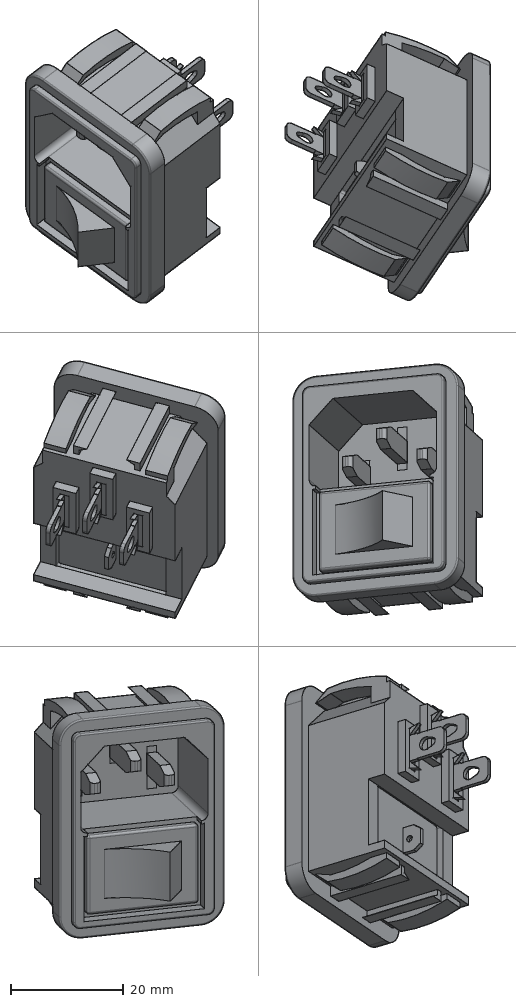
import cadquery as cq
import math


flange_width = 31.2
flange_height = 41.2
flange_thickness = 3.75
flange_corner_radius = 4.45
rim_width = 26.6
rim_height = 36.65
rim_height_off_flange = 1.3
rim_corner_radius = 1.3
front_edge_radius = 0.3
rim_front_y = -(flange_thickness + rim_height_off_flange)

body_half_width = 13.47
body_half_height = 17.15
body_back_y = 16.35
body_corner_chamfer = 5.05
rear_notch_y = 12.9
rear_notch_top_z = -2.3
rear_notch_bottom_z = -15.55

latch_inner_x = 7.6
latch_outer_x = 11.8
latch_back_y = 15.65
latch_back_height = 1.1
latch_peak_y = 7.13
latch_peak_height = 2.5
latch_knee_y = 2.95
latch_knee_height = 2.22
latch_tip_y = 0.37
latch_tip_thickness = 0.3
latch_gap_back_y = 12.28
latch_gap_middle_y = 6.4
latch_gap_front_y = 3.63
latch_gap_height = 1.05
rib_inner_x = 3.8
rib_outer_x = 6.35
rib_back_y = 15.15
rib_height = 1.95
rib_wall_inner_x = 5.27
rib_lip_depth = 0.82

socket_half_width = 12.0
socket_top_z = 15.6
socket_bottom_z = -0.4
socket_top_chamfer = 4.5
socket_bottom_radius = 1.25
socket_floor_y = 11.4

recess_half_width = 11.37
recess_top_z = -1.05
recess_bottom_z = -17.05
recess_depth = 2.35
recess_floor_y = rim_front_y + recess_depth

switch_half_width = 10.45
switch_height = 14.85
switch_center_z = -8.75
switch_front_y = -4.3
switch_back_y = 11.55
switch_edge_radius = 0.45
rocker_half_width = 7.25
rocker_height = 9.23
rocker_ridge_x = 3.35
rocker_ridge_y = -9.55
rocker_face_x = -1.4
rocker_face_y = -6.0
terminal_thickness = 0.82
terminal_height = 5.05
terminal_back_y = 15.3
terminal_corner_y = 1.4
terminal_corner_z = 1.0
terminal_hole_radius = 0.58
terminal_hole_y = 12.95

pin_spacing = 7.0
blade_width = 1.98
blade_height = 4.0
side_blade_tip_y = 1.15
center_blade_tip_y = -0.65
blade_taper_length = 2.9
blade_taper_depth = 1.05
blade_tip_width = 0.5
blade_tip_depth = 0.5
blade_offset_z = 0.8
plate_width = 1.75
plate_height = 8.0
tab_thickness = 0.82
tab_height = 4.95
tab_back_y = 25.38
tab_corner_radius = 1.15
tab_root_height = 5.2
tab_root_back_y = 19.53
barb_tip_y = 19.9
barb_tip_z = 4.55
eye_large_radius = 1.28
eye_large_y = 21.4
eye_small_radius = 0.82
eye_small_y = 22.6

block_width = 4.35
block_height = 10.4
block_back_y = 17.95

side_plate_z = 4.8
center_plate_z = 10.4
pin_layout = [
    (-pin_spacing, side_plate_z, 1, side_blade_tip_y),
    (0.0, center_plate_z, -1, center_blade_tip_y),
    (pin_spacing, side_plate_z, 1, side_blade_tip_y),
]

center_block_z = 10.95
block_layout = [
    (-pin_spacing, side_plate_z),
    (0.0, center_block_z),
    (pin_spacing, side_plate_z),
]


def box_between(x0, x1, y0, y1, z0, z1):
    """Box between two opposite corners."""
    return cq.Workplane("XY").box(x1 - x0, y1 - y0, z1 - z0, centered=False).translate((x0, y0, z0))


def side_profile(x0):
    """Workplane across X at x0; its local axes are (Y, Z) and it extrudes toward +X."""
    return cq.Workplane("YZ", origin=(x0, 0, 0))


def front_profile(y0):
    """Workplane across Y at y0; its local axes are (X, Z) and it extrudes toward -Y."""
    return cq.Workplane("XZ", origin=(0, y0, 0))


def make_rounded_plate(width, height, back_y, front_y, corner_radius):
    """Plate with rounded corners and a softened front edge."""
    plate = front_profile(back_y).rect(width, height).extrude(back_y - front_y)
    return plate.edges("|Y").fillet(corner_radius).faces("<Y").edges().fillet(front_edge_radius)


def make_body():
    """Block behind the flange with its two upper corners cut off and a notch in its rear."""
    body = box_between(
        -body_half_width, body_half_width, 0, body_back_y, -body_half_height, body_half_height
    )
    body = body.edges("|Y and >Z").chamfer(body_corner_chamfer)
    notch = box_between(
        -body_half_width, body_half_width, rear_notch_y, body_back_y, rear_notch_bottom_z, rear_notch_top_z
    )
    return body.cut(notch)


def make_latch():
    """Upper latch on the +X side: a bowed arm that springs from the rear of the body."""
    base = body_half_height
    return (
        side_profile(latch_inner_x)
        .moveTo(latch_back_y, base)
        .lineTo(latch_back_y, base + latch_back_height)
        .threePointArc((latch_peak_y, base + latch_peak_height), (latch_knee_y, base + latch_knee_height))
        .lineTo(latch_tip_y, base)
        .lineTo(latch_tip_y + latch_tip_thickness, base)
        .lineTo(latch_gap_front_y, base + latch_gap_height)
        .threePointArc((latch_gap_middle_y, base + latch_gap_height), (latch_gap_back_y, base))
        .close()
        .extrude(latch_outer_x - latch_inner_x)
    )


def make_latch_root():
    """Block that fills the cut-off upper corner of the body under the rear of a latch."""
    root_bottom_z = body_half_height + body_half_width - body_corner_chamfer - latch_outer_x
    return box_between(
        latch_inner_x, latch_outer_x, latch_gap_back_y, body_back_y, root_bottom_z, body_half_height
    )


def make_rib():
    """Upper rib on the +X side: an upright wall with a lip that tapers inward to a sharp edge."""
    base_z = body_half_height
    top_z = base_z + rib_height
    outline = [
        (rib_wall_inner_x, base_z),
        (rib_outer_x, base_z),
        (rib_outer_x, top_z),
        (rib_inner_x, top_z),
        (rib_wall_inner_x, top_z - rib_lip_depth),
    ]
    return front_profile(rib_back_y).polyline(outline).close().extrude(rib_back_y)


def make_socket_opening():
    """Opening with two cut-off upper corners and two rounded lower corners."""
    opening = (
        front_profile(socket_floor_y)
        .moveTo(-socket_half_width, socket_bottom_z)
        .lineTo(socket_half_width, socket_bottom_z)
        .lineTo(socket_half_width, socket_top_z - socket_top_chamfer)
        .lineTo(socket_half_width - socket_top_chamfer, socket_top_z)
        .lineTo(-socket_half_width + socket_top_chamfer, socket_top_z)
        .lineTo(-socket_half_width, socket_top_z - socket_top_chamfer)
        .close()
        .extrude(socket_floor_y - rim_front_y)
    )
    return opening.edges("|Y and <Z").fillet(socket_bottom_radius)


def make_switch_recess():
    """Recess around the switch, joined to the socket through its top."""
    recess = box_between(
        -recess_half_width, recess_half_width, rim_front_y, recess_floor_y, recess_bottom_z, recess_top_z
    )
    joint_half_width = socket_half_width - socket_bottom_radius
    joint = box_between(
        -joint_half_width, joint_half_width, rim_front_y, recess_floor_y, recess_top_z, socket_bottom_z
    )
    return recess.union(joint)


def make_switch_block(front_y, back_y):
    """Block with the rounded outline of the switch."""
    half_height = switch_height / 2
    block = box_between(
        -switch_half_width,
        switch_half_width,
        front_y,
        back_y,
        switch_center_z - half_height,
        switch_center_z + half_height,
    )
    return block.edges("|Y").fillet(switch_edge_radius)


def make_pin_plate(x, z):
    """Part of a pin that passes through the housing; also the shape of its slot."""
    return box_between(
        x - plate_width / 2,
        x + plate_width / 2,
        socket_floor_y,
        block_back_y,
        z - plate_height / 2,
        z + plate_height / 2,
    )


def make_pin_block(x, z):
    """Raised block on the rear of the housing, centred at x and z."""
    return box_between(
        x - block_width / 2,
        x + block_width / 2,
        body_back_y,
        block_back_y,
        z - block_height / 2,
        z + block_height / 2,
    )


def make_housing():
    """Flange, rim and body, with latches, ribs and pin blocks, opened for the other bodies."""
    flange = make_rounded_plate(flange_width, flange_height, 0, -flange_thickness, flange_corner_radius)
    rim = make_rounded_plate(rim_width, rim_height, -flange_thickness, rim_front_y, rim_corner_radius)
    housing = flange.union(rim).union(make_body())

    upper_right_parts = make_latch().union(make_rib())
    upper_parts = upper_right_parts.union(upper_right_parts.mirror("YZ"))
    housing = housing.union(upper_parts).union(upper_parts.mirror("XY"))
    root = make_latch_root()
    housing = housing.union(root).union(root.mirror("YZ"))

    for x, block_z in block_layout:
        housing = housing.union(make_pin_block(x, block_z))

    housing = housing.cut(make_socket_opening()).cut(make_switch_recess())
    housing = housing.cut(make_switch_block(recess_floor_y, rear_notch_y))
    for x, plate_z, _, _ in pin_layout:
        housing = housing.cut(make_pin_plate(x, plate_z))
    return housing


def make_rocker():
    """Rocker with a hollow curved face on one side of its ridge and a flat face on the other."""
    return (
        cq.Workplane("XY", origin=(0, 0, switch_center_z))
        .moveTo(-rocker_half_width, switch_front_y)
        .threePointArc((rocker_face_x, rocker_face_y), (rocker_ridge_x, rocker_ridge_y))
        .lineTo(rocker_half_width, switch_front_y)
        .close()
        .extrude(rocker_height / 2, both=True)
    )


def make_terminal():
    """Solder terminal on the rear of the switch, with cut corners and a hole."""
    half_height = terminal_height / 2
    upper_outline = [
        (switch_back_y, half_height),
        (terminal_back_y - terminal_corner_y, half_height),
        (terminal_back_y, half_height - terminal_corner_z),
    ]
    lower_outline = [(y, -z) for y, z in reversed(upper_outline)]
    terminal = (
        side_profile(0)
        .polyline(upper_outline + lower_outline)
        .close()
        .extrude(terminal_thickness / 2, both=True)
    )
    hole = (
        side_profile(0)
        .center(terminal_hole_y, 0)
        .circle(terminal_hole_radius)
        .extrude(terminal_thickness, both=True)
    )
    return terminal.cut(hole).translate((0, 0, switch_center_z))


def make_switch():
    """Switch block with a softened front, its rocker and its terminal."""
    block = make_switch_block(switch_front_y, switch_back_y)
    block = block.faces("<Y").edges().fillet(switch_edge_radius)
    return block.union(make_rocker()).union(make_terminal())


def tip_curve_middle(tip_y, side):
    """Middle point of the arc that leaves the flat tip tangentially and ends on a blade side."""
    run = (blade_width - blade_tip_width) / 2
    radius = (run**2 + blade_tip_depth**2) / (2 * blade_tip_depth)
    half_angle = math.asin(run / radius) / 2
    x = blade_tip_width / 2 + radius * math.sin(half_angle)
    return side * x, tip_y + radius * (1 - math.cos(half_angle))


def make_blade(tip_y):
    """Front blade of a pin, tapered above and below, with its tip curved back to the sides."""
    half_height = blade_height / 2
    upper_outline = [
        (socket_floor_y, half_height),
        (tip_y + blade_taper_length, half_height),
        (tip_y, half_height - blade_taper_depth),
    ]
    lower_outline = [(y, -z) for y, z in reversed(upper_outline)]
    blade = (
        side_profile(0)
        .polyline(upper_outline + lower_outline)
        .close()
        .extrude(blade_width / 2, both=True)
    )

    half_width = blade_width / 2
    half_tip = blade_tip_width / 2
    shoulder_y = tip_y + blade_tip_depth
    plan = (
        cq.Workplane("XY")
        .moveTo(half_width, socket_floor_y)
        .lineTo(-half_width, socket_floor_y)
        .lineTo(-half_width, shoulder_y)
        .threePointArc(tip_curve_middle(tip_y, -1), (-half_tip, tip_y))
        .lineTo(half_tip, tip_y)
        .threePointArc(tip_curve_middle(tip_y, 1), (half_width, shoulder_y))
        .close()
        .extrude(half_height, both=True)
    )
    return blade.intersect(plan)


def make_tab_eye():
    """Drop-shaped hole in a tab: two arcs joined by their common tangents."""
    tangent_angle = math.asin((eye_large_radius - eye_small_radius) / (eye_small_y - eye_large_y))
    along = math.sin(tangent_angle)
    across = math.cos(tangent_angle)
    large_y = eye_large_y + eye_large_radius * along
    large_z = eye_large_radius * across
    small_y = eye_small_y + eye_small_radius * along
    small_z = eye_small_radius * across
    return (
        side_profile(0)
        .moveTo(large_y, -large_z)
        .lineTo(small_y, -small_z)
        .threePointArc((eye_small_y + eye_small_radius, 0), (small_y, small_z))
        .lineTo(large_y, large_z)
        .threePointArc((eye_large_y - eye_large_radius, 0), (large_y, -large_z))
        .close()
        .extrude(tab_thickness)
    )


def make_tab():
    """Rear solder tab with a wider root, two barbs and an eye."""
    tab = box_between(0, tab_thickness, block_back_y, tab_back_y, -tab_height / 2, tab_height / 2)
    tab = tab.edges("|X and >Y").fillet(tab_corner_radius)
    root_half_height = tab_root_height / 2
    root = box_between(
        0, tab_thickness, block_back_y, tab_root_back_y, -root_half_height, root_half_height
    )
    barb_outline = [
        (block_back_y, root_half_height),
        (barb_tip_y, barb_tip_z),
        (block_back_y, plate_height / 2),
    ]
    barb = side_profile(0).polyline(barb_outline).close().extrude(tab_thickness)
    return tab.union(root).union(barb).union(barb.mirror("XY")).cut(make_tab_eye())


def make_pin(x, plate_z, blade_side, tip_y):
    """One contact pin, its plate centred at x and plate_z."""
    blade = make_blade(tip_y).translate((0, 0, blade_side * blade_offset_z))
    return make_pin_plate(0, 0).union(blade).union(make_tab()).translate((x, 0, plate_z))


housing = make_housing()
switch = make_switch()
pins = [make_pin(x, plate_z, blade_side, tip_y) for x, plate_z, blade_side, tip_y in pin_layout]

result = cq.Compound.makeCompound([housing.val(), switch.val(), *[pin.val() for pin in pins]])